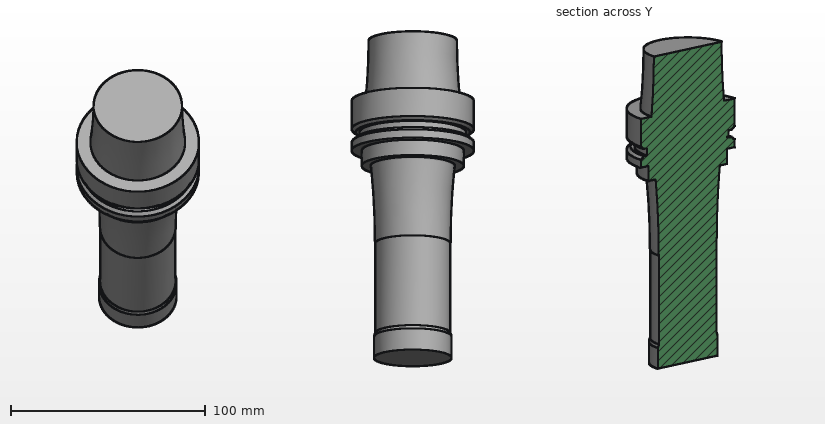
import cadquery as cq

shank_diameter = 38.7
tip_diameter = 40.0
collar_diameter = 52.6
flange_diameter = 63.0
groove_diameter = 55.0
groove_rim_diameter = 58.8
neck_base_diameter = 39.0
neck_top_diameter = 43.0
neck_root_diameter = 43.6
cone_base_diameter = 48.8
cone_top_diameter = 45.6

tip_height = 11.2
shank_start = 13.0
shank_end = 60.3
neck_start = 60.8
neck_end = 100.0
collar_bottom = 101.0
flange_bottom = 109.0
groove_bottom = 115.0
groove_top = 118.7
flange_top = 135.3
total_height = 167.0

bevel_height = 1.7


def flare_point(straight_end, wide_end):
    """Point halfway up a flare whose slope starts parallel to the axis.

    Each end is (radius, height). Such a shallow arc is close to a parabola,
    so at half its height it has gained a quarter of its radial growth.
    """
    radius = straight_end[0] + (wide_end[0] - straight_end[0]) / 4
    height = (straight_end[1] + wide_end[1]) / 2
    return radius, height


neck_lower_end = (neck_base_diameter / 2, neck_start)
neck_upper_end = (neck_top_diameter / 2, neck_end)
cone_base = (cone_base_diameter / 2, flange_top)
cone_tip = (cone_top_diameter / 2, total_height)

profile = (
    cq.Workplane("XZ")
    .lineTo(tip_diameter / 2, 0)
    .lineTo(tip_diameter / 2, tip_height)
    .lineTo(shank_diameter / 2, shank_start)
    .lineTo(shank_diameter / 2, shank_end)
    .lineTo(*neck_lower_end)
    .threePointArc(flare_point(neck_lower_end, neck_upper_end), neck_upper_end)
    .lineTo(neck_root_diameter / 2, collar_bottom)
    .lineTo(collar_diameter / 2, collar_bottom)
    .lineTo(collar_diameter / 2, flange_bottom)
    .lineTo(flange_diameter / 2, flange_bottom)
    .lineTo(flange_diameter / 2, groove_bottom - bevel_height)
    .lineTo(groove_rim_diameter / 2, groove_bottom)
    .lineTo(groove_diameter / 2, groove_bottom)
    .lineTo(groove_diameter / 2, groove_top)
    .lineTo(groove_rim_diameter / 2, groove_top)
    .lineTo(flange_diameter / 2, groove_top + bevel_height)
    .lineTo(flange_diameter / 2, flange_top)
    .lineTo(*cone_base)
    .threePointArc(flare_point(cone_tip, cone_base), cone_tip)
    .lineTo(0, total_height)
    .close()
)

result = profile.revolve(360, (0, 0, 0), (0, 1, 0))